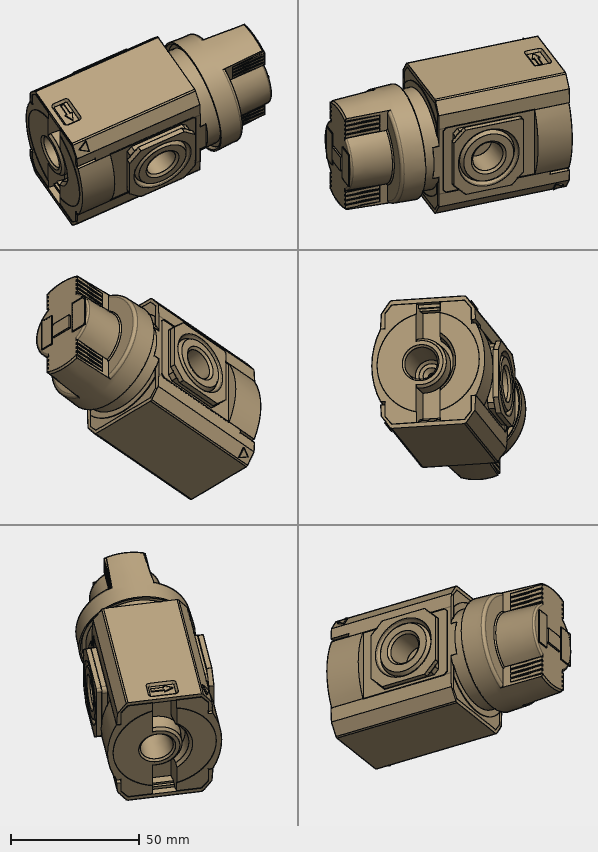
import cadquery as cq


COVER_HALF_X = 19.1
COVER_HEIGHT = 52.0
COVER_HALF_Z = COVER_HEIGHT / 2
COVER_TOP_HALF_X = 15.0
COVER_SHOULDER_X = 18.7
COVER_SHOULDER_Z = 20.8
COVER_EDGE_CHAMFER = 0.45
COVER_LENGTH = 54.8
INNER_HALF_X = 17.3
INNER_HALF_Z = 24.25
INNER_TOP_HALF_X = 14.6
INNER_SHOULDER_Z = 20.9
WINDOW_HALF_Z = 14.75
WINDOW_END = 53.0
WINDOW_CORNER = 1.3
LIP_NOTCH_Z = 16.2
LIP_NOTCH_LENGTH = 8.1
TAB_HALF_Z = 7.1
TAB_END = 57.5

LABEL_X = 11.9
LABEL_Y = 7.5
LABEL_CENTER_Y = 5.7
LABEL_DEPTH = 1.1
LABEL_TAPER = 40
LABEL_CORNER = 1.4
ARROW_HEIGHT = 0.45
ARROW_CENTER_Y = 6.2
ARROW_TAIL_X = -4.3
ARROW_NECK_X = 0.7
ARROW_TIP_X = 4.3
ARROW_TAIL_HALF = 0.7
ARROW_HEAD_HALF = 1.6

MARK_FRONT = 1.8
MARK_BACK = 5.6
MARK_WIDTH = 4.5
MARK_HEIGHT = 0.5

BODY_FRONT = 0.3
FACE_DISC_R = 20.45
FACE_DISC_HEIGHT = 0.2
FACE = BODY_FRONT - FACE_DISC_HEIGHT
BULGE_HALF_X = 22.6
BULGE_END = 14.7
BACK_DISC_R = 23.1
BACK_DISC_HEIGHT = 0.3
NECK_FRONT_R = 20.45
NECK_BACK_R = 20.1
NECK_END = 63.35
PAD_HALF_X = 18.6

SLOT_TOP_HALF = 4.8
SLOT_FLOOR_HALF = 3.6
SLOT_DEPTH = 6.8
SLOT_FLOOR_HALF_Z = 22.0
SLOT_STEP_HALF_Z = 22.9
SLOT_STEP_DEPTH = 3.6
SLOT_END_DEPTH = 2.5
BOSS_TOP_R = 9.0
BOSS_WALL_R = 10.05
BOSS_FLOOR_R = 10.5
BEND_TOP_R = 14.0
BEND_WALL_R = 12.8
BEND_FLOOR_R = 12.2

HOLE_X = -3.0
HOLE_MOUTH_R = 7.3
HOLE_R = 6.5
HOLE_BOTTOM_R = 6.0
HOLE_DEPTH = 18.1
HOLE_CONE_R = 4.8
SEAT_R = 3.2
SEAT_NECK_R = 1.8
PILOT_R = 1.45
PILOT_DEPTH = 25.3

PORT_Y = 35.7
FLANGE_HALF_X = 23.3
FLANGE_THICKNESS = 2.1
FLANGE_SIZE = 29.3
FLANGE_CHAMFER = 5.0
PORT_NECK_SIZE = 26.4
PORT_NECK_CHAMFER = 1.9
KEYED_CORNER = 1.2
SEAL_OUTER_R = 12.8
SEAL_LIP_R = 12.4
SEAL_LIP_DEPTH = 0.4
SEAL_MID_R = 11.5
SEAL_INNER_R = 10.5
SEAL_DEPTH = 1.8
PORT_MOUTH_R = 7.3
PORT_R = 6.3
PORT_DEPTH = 12.7

KNOB_START = 62.0
KNOB_FACE = 89.8
COLLAR_TOP = 72.1
KNOB_START_R = 23.1
KNOB_FACE_R = 22.0
COLLAR_EDGE = 1.3
RECESS_MOUTH_R = 22.4
RECESS_FLOOR_R = 21.7
CORE_BASE_R = 14.75
CORE_TOP_R = 14.0
CORE_EDGE = 0.8
CORE_FOOT = 0.5
GRIP_BASE_HALF = 8.3
GRIP_TOP_HALF = 7.3
GRIP_EDGE = 0.7
RIB_START = 75.4
RIB_HALF_X = 8.1
RIB_WIDTH = 1.45
RIB_PITCH = 2.0
RIB_FIRST_Z = 13.0
RIB_COUNT = 4
PAD_HALF_Z = 7.15
PAD_HEIGHT = 0.45
CENTER_PAD_Z = (-4.4, 1.9)
CENTER_PAD_X = (-4.4, 4.3)
SIDE_PADS_X = ((-12.5, -5.6), (5.1, 10.6))
OVERALL_END = 90.5

CLEARANCE = 0.9


def block(x_range, y_range, z_range):
    """Box between the given limits on each axis."""
    size = [high - low for low, high in (x_range, y_range, z_range)]
    corner = (x_range[0], y_range[0], z_range[0])
    return cq.Workplane("XY").box(*size, centered=False).translate(corner)


def turned(profile, axis_x=0.0):
    """Solid of revolution about a line parallel to Y; profile is a list of (radius, y)."""
    points = [(axis_x + radius, y) for radius, y in profile]
    return cq.Workplane("XY").polyline(points).close().revolve(360, (axis_x, 0), (axis_x, 1))


def along_y(quarter, start, end):
    """Prism along Y whose section is a quarter outline mirrored about both axes."""
    right = quarter + [(x, -z) for x, z in reversed(quarter)]
    left = [(-x, z) for x, z in reversed(right)]
    prism = cq.Workplane("XZ").polyline(right + left).close().extrude(start - end)
    return prism.translate((0, start, 0))


def core_section(start, end):
    """Octagonal prism that fills the inside of the cover."""
    corner = [(INNER_TOP_HALF_X, INNER_HALF_Z), (INNER_HALF_X, INNER_SHOULDER_Z)]
    return along_y(corner, start, end)


def window_cutter():
    """Block that opens both side walls and leaves the rear end of the cover closed."""
    window_y = (-CLEARANCE, WINDOW_END)
    window = block((-FLANGE_HALF_X, FLANGE_HALF_X), window_y, (-WINDOW_HALF_Z, WINDOW_HALF_Z))
    return window.edges("|X and >Y").chamfer(WINDOW_CORNER)


def label_recess():
    """Sloped recess in the cover top with a raised arrow on its floor."""
    plane = cq.Workplane("XY", origin=(0, LABEL_CENTER_Y, COVER_HALF_Z))
    outline = cq.Sketch().rect(LABEL_X, LABEL_Y).vertices().fillet(LABEL_CORNER)
    recess = plane.placeSketch(outline).extrude(-LABEL_DEPTH, taper=LABEL_TAPER)
    upper_half = [
        (ARROW_TAIL_X, ARROW_TAIL_HALF),
        (ARROW_NECK_X, ARROW_TAIL_HALF),
        (ARROW_NECK_X, ARROW_HEAD_HALF),
        (ARROW_TIP_X, 0),
    ]
    lower_half = [(x, -y) for x, y in reversed(upper_half[:-1])]
    floor = cq.Workplane("XY", origin=(0, ARROW_CENTER_Y, COVER_HALF_Z - LABEL_DEPTH))
    arrow = floor.polyline(upper_half + lower_half).close()
    return recess.cut(arrow.extrude(ARROW_HEIGHT))


def corner_mark():
    """Raised triangle on the upper right corner slope, pointing to the front."""
    slope_x = COVER_SHOULDER_X - COVER_TOP_HALF_X
    slope_z = COVER_HALF_Z - COVER_SHOULDER_Z
    middle_x = (COVER_SHOULDER_X + COVER_TOP_HALF_X) / 2
    middle_z = (COVER_HALF_Z + COVER_SHOULDER_Z) / 2
    slope = cq.Plane(
        origin=(middle_x, 0, middle_z),
        xDir=(-slope_x, 0, slope_z),
        normal=(slope_z, 0, slope_x),
    )
    triangle = [(-MARK_WIDTH / 2, -MARK_BACK), (MARK_WIDTH / 2, -MARK_BACK), (0, -MARK_FRONT)]
    return cq.Workplane(slope).polyline(triangle).close().extrude(MARK_HEIGHT)


def cover_tab():
    """Tab on the +X wall that reaches back over the neck of the body."""
    return block((INNER_HALF_X, COVER_HALF_X), (COVER_LENGTH, TAB_END), (-TAB_HALF_Z, TAB_HALF_Z))


def make_cover():
    corner = [
        (COVER_TOP_HALF_X, COVER_HALF_Z),
        (COVER_SHOULDER_X, COVER_SHOULDER_Z),
        (COVER_HALF_X, WINDOW_HALF_Z),
    ]
    cover = along_y(corner, 0, COVER_LENGTH)
    cover = cover.edges("|Y and (>Z or <Z)").chamfer(COVER_EDGE_CHAMFER)
    cover = cover.cut(core_section(-CLEARANCE, COVER_LENGTH + CLEARANCE))
    cover = cover.cut(window_cutter()).cut(label_recess())
    mark = corner_mark()
    notch = block((0, FLANGE_HALF_X), (-CLEARANCE, LIP_NOTCH_LENGTH), (0, LIP_NOTCH_Z))
    for turn in (0, 180):
        cover = cover.union(cover_tab().rotate((0, 0, 0), (0, 1, 0), turn))
        cover = cover.union(mark.rotate((0, 0, 0), (0, 1, 0), turn))
        cover = cover.cut(notch.rotate((0, 0, 0), (0, 1, 0), turn))
    return cover


def body_blank():
    """Octagonal core with side pads in the cover windows, rounded cheeks, front disc and neck."""
    core = core_section(BODY_FRONT, COVER_LENGTH)
    pads = block(
        (-PAD_HALF_X, PAD_HALF_X), (BODY_FRONT, WINDOW_END), (-WINDOW_HALF_Z, WINDOW_HALF_Z)
    ).edges("|X and >Y").chamfer(WINDOW_CORNER)
    cheeks = (
        cq.Workplane("XZ", origin=(0, BODY_FRONT, 0))
        .moveTo(COVER_HALF_X, -WINDOW_HALF_Z)
        .threePointArc((BULGE_HALF_X, 0), (COVER_HALF_X, WINDOW_HALF_Z))
        .lineTo(-COVER_HALF_X, WINDOW_HALF_Z)
        .threePointArc((-BULGE_HALF_X, 0), (-COVER_HALF_X, -WINDOW_HALF_Z))
        .close()
        .extrude(BODY_FRONT - BULGE_END)
    )
    disc = turned([(0, FACE), (FACE_DISC_R, FACE), (FACE_DISC_R, BULGE_END), (0, BULGE_END)])
    disc = disc.intersect(core.union(cheeks).translate((0, -FACE_DISC_HEIGHT, 0)))
    return core.union(pads).union(cheeks).union(disc).union(neck())


def neck():
    """Round neck toward the knob, with flats and pockets for the cover tabs."""
    round_neck = turned(
        [(0, COVER_LENGTH), (NECK_FRONT_R, COVER_LENGTH), (NECK_BACK_R, NECK_END), (0, NECK_END)]
    )
    tab_y = (COVER_LENGTH, TAB_END)
    flat = block((COVER_HALF_X, FLANGE_HALF_X), tab_y, (-INNER_HALF_Z, INNER_HALF_Z))
    for cutter in (flat, cover_tab()):
        round_neck = round_neck.cut(cutter).cut(cutter.mirror("YZ"))
    back_end = COVER_LENGTH + BACK_DISC_HEIGHT
    back_disc = turned(
        [(0, COVER_LENGTH), (BACK_DISC_R, COVER_LENGTH), (BACK_DISC_R, back_end), (0, back_end)]
    ).intersect(core_section(COVER_LENGTH, back_end))
    return round_neck.union(back_disc)


def port(side):
    """Octagonal flange and its neck on one side; side is +1 for +X and -1 for -X."""

    def octagon(size, chamfer, keyed, x_start, x_end):
        low, high = sorted((side * x_start, side * x_end))
        half = size / 2
        plate = block((low, high), (PORT_Y - half, PORT_Y + half), (-half, half))
        plate = plate.edges("|X and >Y").chamfer(chamfer)
        plate = plate.edges("|X and <Y and <Z").chamfer(chamfer)
        front_top = plate.edges("|X and <Y and >Z")
        return front_top.fillet(keyed) if side < 0 else front_top.chamfer(chamfer)

    flange_start = FLANGE_HALF_X - FLANGE_THICKNESS
    flange = octagon(FLANGE_SIZE, FLANGE_CHAMFER, KEYED_CORNER, flange_start, FLANGE_HALF_X)
    collar = octagon(PORT_NECK_SIZE, PORT_NECK_CHAMFER, PORT_NECK_CHAMFER, INNER_HALF_X, flange_start)
    return flange.union(collar)


def port_cutter(side):
    """Countersunk bore and V-shaped seal groove of one side port."""
    mouth = PORT_MOUTH_R - PORT_R
    bore = [(0, 0), (PORT_MOUTH_R, 0), (PORT_R, mouth), (PORT_R, PORT_DEPTH), (0, PORT_DEPTH)]
    groove = [
        (SEAL_OUTER_R, 0),
        (SEAL_LIP_R, SEAL_LIP_DEPTH),
        (SEAL_MID_R, SEAL_DEPTH),
        (SEAL_INNER_R, 0),
    ]
    cutter = turned(bore).union(turned(groove))
    cutter = cutter.rotate((0, 0, 0), (0, 0, 1), side * 90)
    return cutter.translate((side * FLANGE_HALF_X, PORT_Y, 0))


def key_slot():
    """Drafted slot along Z that bends around the boss of the front hole."""
    floor = FACE + SLOT_DEPTH
    trapezoid = [
        (-SLOT_TOP_HALF, FACE),
        (SLOT_TOP_HALF, FACE),
        (SLOT_FLOOR_HALF, floor),
        (-SLOT_FLOOR_HALF, floor),
    ]
    strip = cq.Workplane("XY").polyline(trapezoid).close().extrude(INNER_HALF_Z, both=True)
    for start_z, end_z, depth in (
        (SLOT_FLOOR_HALF_Z, SLOT_STEP_HALF_Z, SLOT_STEP_DEPTH),
        (SLOT_STEP_HALF_Z, INNER_HALF_Z, SLOT_END_DEPTH),
    ):
        ledge = block((-SLOT_TOP_HALF, SLOT_TOP_HALF), (FACE + depth, floor), (start_z, end_z))
        strip = strip.cut(ledge).cut(ledge.mirror("XY"))

    boss_edge = FACE + BOSS_WALL_R - BOSS_TOP_R
    bend_edge = FACE + BEND_TOP_R - BEND_WALL_R
    boss_wall = [(BOSS_TOP_R, FACE), (BOSS_WALL_R, boss_edge), (BOSS_FLOOR_R, floor)]
    bend_wall = [(BEND_FLOOR_R, floor), (BEND_WALL_R, bend_edge), (BEND_TOP_R, FACE)]
    boss = turned([(0, FACE)] + boss_wall + [(0, floor)], HOLE_X)
    bend = turned(boss_wall + bend_wall, HOLE_X)
    right_half = block((0, FACE_DISC_R), (FACE, floor), (-FACE_DISC_R, FACE_DISC_R))
    return strip.cut(boss).union(bend.intersect(right_half))


def front_hole():
    """Stepped front hole with a conical bottom, a conical seat and a pilot hole."""
    bottom = FACE + HOLE_DEPTH
    return turned(
        [
            (0, FACE),
            (HOLE_MOUTH_R, FACE),
            (HOLE_R, FACE + HOLE_MOUTH_R - HOLE_R),
            (HOLE_BOTTOM_R, bottom - (HOLE_BOTTOM_R - HOLE_CONE_R)),
            (HOLE_CONE_R, bottom),
            (SEAT_R, bottom),
            (SEAT_NECK_R, bottom + SEAT_R - SEAT_NECK_R),
            (PILOT_R, bottom + SEAT_R - PILOT_R),
            (PILOT_R, PILOT_DEPTH),
            (0, PILOT_DEPTH),
        ],
        HOLE_X,
    )


def make_body():
    body = body_blank()
    for side in (-1, 1):
        body = body.union(port(side)).cut(port_cutter(side))
    return body.cut(key_slot()).cut(front_hole())


def knob_envelope():
    """Full-length cone that bounds the collar and the ends of the grip bar."""
    cone = turned(
        [(0, KNOB_START), (KNOB_START_R, KNOB_START), (KNOB_FACE_R, KNOB_FACE), (0, KNOB_FACE)]
    )
    return cone.faces(">Y").edges().chamfer(GRIP_EDGE)


def collar():
    slope = (KNOB_START_R - KNOB_FACE_R) / (KNOB_FACE - KNOB_START)
    top_r = KNOB_START_R - slope * (COLLAR_TOP - KNOB_START)
    ring = turned([(0, KNOB_START), (KNOB_START_R, KNOB_START), (top_r, COLLAR_TOP), (0, COLLAR_TOP)])
    ring = ring.faces(">Y").edges().fillet(COLLAR_EDGE)
    recess = turned(
        [(0, KNOB_START), (RECESS_MOUTH_R, KNOB_START), (RECESS_FLOOR_R, NECK_END), (0, NECK_END)]
    )
    return ring.cut(recess)


def grip_core():
    core = turned(
        [
            (0, COLLAR_TOP),
            (CORE_BASE_R + CORE_FOOT, COLLAR_TOP),
            (CORE_BASE_R, COLLAR_TOP + CORE_FOOT),
            (CORE_TOP_R, KNOB_FACE),
            (0, KNOB_FACE),
        ]
    )
    return core.faces(">Y").edges().fillet(CORE_EDGE)


def grip_bar():
    """Tapered bar across the knob with ribs that emerge from its flanks."""
    base = COLLAR_TOP - COLLAR_EDGE
    trapezoid = [
        (-GRIP_BASE_HALF, base),
        (GRIP_BASE_HALF, base),
        (GRIP_TOP_HALF, KNOB_FACE),
        (-GRIP_TOP_HALF, KNOB_FACE),
    ]
    bar = cq.Workplane("XY").polyline(trapezoid).close().extrude(KNOB_START_R, both=True)
    for index in range(RIB_COUNT):
        center_z = RIB_FIRST_Z + index * RIB_PITCH
        z_range = (center_z - RIB_WIDTH / 2, center_z + RIB_WIDTH / 2)
        rib = block((-RIB_HALF_X, RIB_HALF_X), (RIB_START, KNOB_FACE), z_range)
        bar = bar.union(rib).union(rib.mirror("XY"))
    return bar.intersect(knob_envelope())


def make_knob():
    knob = collar().union(grip_core()).union(grip_bar())
    knob = knob.union(block(CENTER_PAD_X, (KNOB_FACE, OVERALL_END), CENTER_PAD_Z))
    for x_range in SIDE_PADS_X:
        pad = block(x_range, (KNOB_FACE, KNOB_FACE + PAD_HEIGHT), (-PAD_HALF_Z, PAD_HALF_Z))
        knob = knob.union(pad)
    return knob


cover = make_cover()
body = make_body()
knob = make_knob()
result = cq.Compound.makeCompound([part.solids().val() for part in (body, cover, knob)])